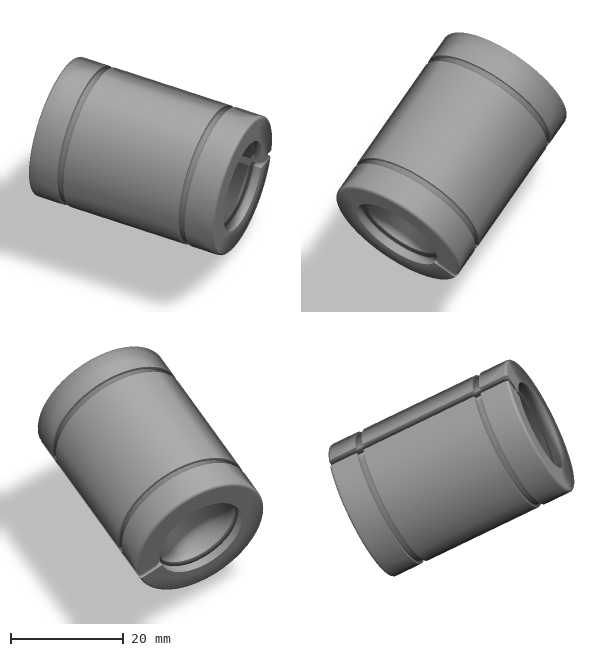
import cadquery as cq

length = 36.0
outer_radius = 13.0
bore_radius = 8.0
edge_radius = 0.5

counterbore_radius = 8.42
counterbore_depth = 1.5

undercut_radius = 9.5
undercut_width = 0.6

groove_offset = 5.55
groove_width = 1.3
groove_radius = 12.45

slit_width = 1.5
slit_angle = -15.0


def cylinder(radius, start, span):
    """Solid cylinder along X, beginning at X = start."""
    return cq.Workplane("YZ", origin=(start, 0, 0)).circle(radius).extrude(span)


def ring(outside, inside, start, span):
    """Tube along X, beginning at X = start."""
    return cylinder(outside, start, span).cut(cylinder(inside, start, span))


def slit():
    """Radial slab from the axis to beyond the outer surface."""
    reach = 2 * outer_radius
    slab = cq.Workplane("XY").box(length, reach, slit_width, centered=(True, False, True))
    return slab.rotate((0, 0, 0), (1, 0, 0), slit_angle)


left_end = -length / 2
right_end = length / 2

result = cylinder(outer_radius, left_end, length).edges("%CIRCLE").fillet(edge_radius)
result = result.cut(cylinder(bore_radius, left_end, length))

for start in (left_end, right_end - counterbore_depth):
    result = result.cut(cylinder(counterbore_radius, start, counterbore_depth))

for start in (left_end + counterbore_depth, right_end - counterbore_depth - undercut_width):
    result = result.cut(cylinder(undercut_radius, start, undercut_width))

for start in (left_end + groove_offset, right_end - groove_offset - groove_width):
    result = result.cut(ring(2 * outer_radius, groove_radius, start, groove_width))

result = result.cut(slit())